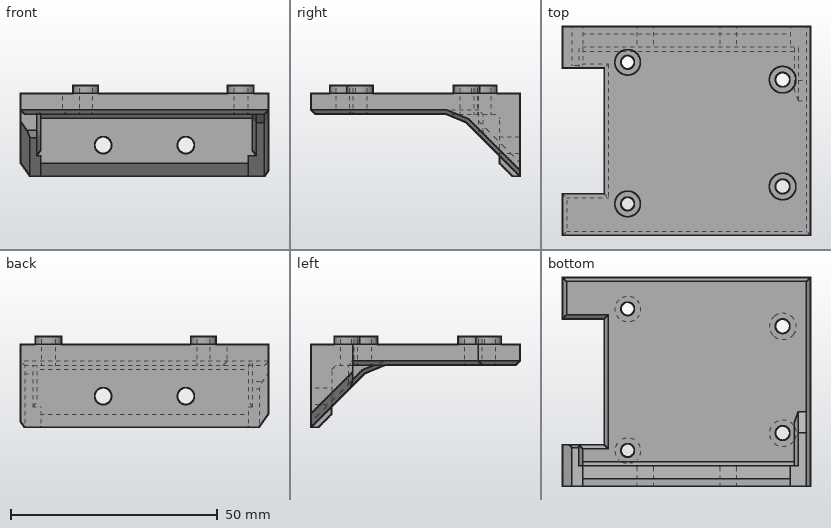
import cadquery as cq


length = 60.0
depth = 50.5
total_height = 22.0
plate_thickness = 5.0
edge_chamfer = 1.0

notch_depth = 10.1
notch_margin = 10.1
notch_rear = depth - notch_margin

boss_height = 2.0
left_boss_x = 15.8
left_boss_spacing = 34.2
left_boss_diameter = 6.2
left_hole_diameter = 3.2
right_boss_x = 53.2
right_boss_spacing = 25.8
right_boss_diameter = 6.4
right_hole_diameter = 3.4
boss_centre_y = 24.7

wall_drop = total_height - boss_height
wall_thickness = 5.0
wall_chamfer = 3.2
wall_end_width = 5.0
wall_hole_diameter = 4.0
wall_hole_spacing = 20.0
wall_hole_drop = 12.5

left_gusset_width = wall_end_width
right_gusset_width = 4.0
left_outer_chamfer = 2.35
gusset_bend_reach = 13.0
gusset_toe_reach = 18.0


def extrude_side_profile(points, x_start, width):
    """Extrude a closed (y, z) outline along X."""
    return cq.Workplane("YZ").polyline(points).close().extrude(width).translate((x_start, 0, 0))


def diagonal_z(y):
    """Height of the 45 degree gusset underside at y."""
    return depth - y - wall_drop


def make_plate():
    blank = cq.Workplane("XY").box(length, depth, plate_thickness, centered=False)
    notch = (
        cq.Workplane("XY")
        .box(notch_depth, notch_rear - notch_margin, plate_thickness, centered=False)
        .translate((0, notch_margin, 0))
    )
    plate = blank.cut(notch).faces("<Z").edges("not(>Y)").chamfer(edge_chamfer)
    return plate.translate((0, 0, -plate_thickness))


def make_wall():
    front = depth - wall_thickness
    middle_profile = [
        (depth, 0),
        (front, 0),
        (front, wall_chamfer - wall_drop),
        (front + wall_chamfer, -wall_drop),
        (depth, -wall_drop),
    ]
    wall = extrude_side_profile(middle_profile, wall_end_width, length - 2 * wall_end_width)

    end_profile = [(depth, 0), (front, 0), (front, diagonal_z(front)), (depth, -wall_drop)]
    left_strip = edge_chamfer
    right_strip = wall_end_width - right_gusset_width + edge_chamfer
    wall = wall.union(extrude_side_profile(end_profile, wall_end_width - left_strip, left_strip))
    wall = wall.union(extrude_side_profile(end_profile, length - wall_end_width, right_strip))

    corner_bevel = [
        (front, -plate_thickness),
        (front - edge_chamfer, -plate_thickness),
        (front, -plate_thickness - edge_chamfer),
    ]
    bevel_length = length - left_gusset_width - right_gusset_width
    return wall.union(extrude_side_profile(corner_bevel, left_gusset_width, bevel_length))


def make_left_gusset():
    """Gusset that ends flush with the rear side of the notch."""
    profile = [(depth, 0), (notch_rear, 0), (notch_rear, diagonal_z(notch_rear)), (depth, -wall_drop)]
    gusset = extrude_side_profile(profile, 0, left_gusset_width)
    gusset = gusset.faces("<X").edges("not(|Y or |Z)").chamfer(left_outer_chamfer)
    inner_edges = gusset.faces(">X").edges("<Y or (not(|Y or |Z))")
    front_edge = gusset.faces("<Y").edges("<Z")
    return gusset.newObject(inner_edges.vals() + front_edge.vals()).chamfer(edge_chamfer)


def make_right_gusset():
    """Gusset whose diagonal bends to a shallower slope under the plate."""
    bend_y = depth - gusset_bend_reach
    toe_y = depth - gusset_toe_reach
    profile = [
        (depth, 0),
        (toe_y, 0),
        (toe_y, -plate_thickness),
        (bend_y, diagonal_z(bend_y)),
        (depth, -wall_drop),
    ]
    gusset = extrude_side_profile(profile, length - right_gusset_width, right_gusset_width)
    return gusset.edges("not(|X or |Y or |Z)").chamfer(edge_chamfer)


def boss_points(x, spacing):
    return [(x, boss_centre_y + side * spacing / 2) for side in (-1, 1)]


result = make_plate().union(make_wall()).union(make_left_gusset()).union(make_right_gusset())

for x, spacing, boss_diameter, hole_diameter in (
    (left_boss_x, left_boss_spacing, left_boss_diameter, left_hole_diameter),
    (right_boss_x, right_boss_spacing, right_boss_diameter, right_hole_diameter),
):
    sites = cq.Workplane("XY").pushPoints(boss_points(x, spacing))
    result = result.union(sites.circle(boss_diameter / 2).extrude(boss_height))
    hole = sites.circle(hole_diameter / 2).extrude(boss_height + plate_thickness)
    result = result.cut(hole.translate((0, 0, -plate_thickness)))

for side in (-1, 1):
    hole_x = length / 2 + side * wall_hole_spacing / 2
    wall_hole = (
        cq.Workplane("XZ", origin=(hole_x, depth, -wall_hole_drop))
        .circle(wall_hole_diameter / 2)
        .extrude(wall_thickness)
    )
    result = result.cut(wall_hole)